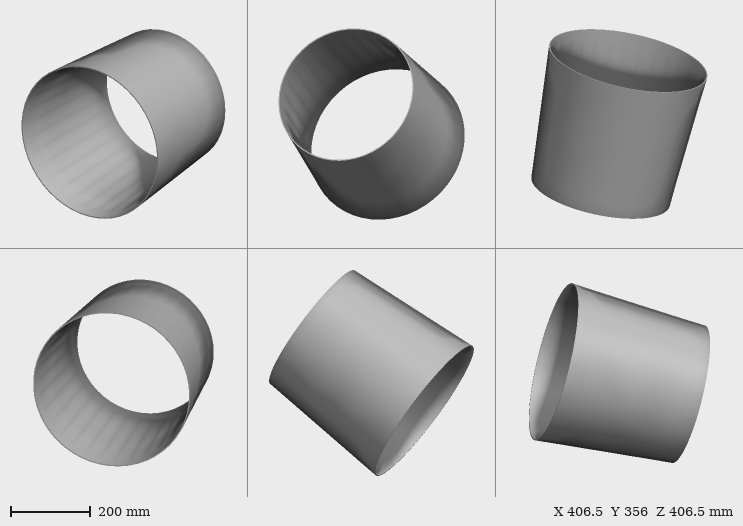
import cadquery as cq

large_diameter = 406.5
small_diameter = 355.5
length = 356.0
wall = 3.0

large_radius = large_diameter / 2
small_radius = small_diameter / 2
large_end_y = -length / 2
small_end_y = length / 2

wall_section = (
    cq.Workplane("XY")
    .moveTo(large_radius - wall, large_end_y)
    .lineTo(large_radius, large_end_y)
    .lineTo(small_radius, small_end_y)
    .lineTo(small_radius - wall, small_end_y)
    .close()
)

result = wall_section.revolve(360, (0, 0, 0), (0, 1, 0))